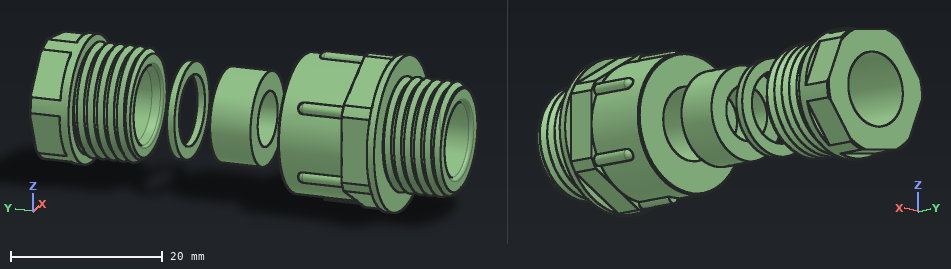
import cadquery as cq
import math

thread_crest_radius = 7.7
thread_half_angle = 40.0
thread_turns_gauged = 5
thread_advance_gauged = 7.05
thread_pitch = thread_advance_gauged / thread_turns_gauged
thread_length = 8.0
full_v_depth = thread_pitch / 2 / math.tan(math.radians(thread_half_angle))
root_land = 0.03
thread_root_depth = 0.3
thread_core_radius = thread_crest_radius - full_v_depth + root_land

flange_radius = 10.495
flange_top = 9.05
hex_top = 13.0
hex_corners = 6
hex_corner_radius = 10.45
barrel_radius = 9.45
barrel_top = 21.95
barrel_edge_chamfer = 0.2
stem_bore_radius = 5.0
stem_bore_fillet = 0.5
stem_crest_height = 1.3

rib_radius = 0.8
rib_top = 18.7
rib_angle_step = 360 / hex_corners
first_rib_angle = rib_angle_step / 2
plain_rib_angle = 270.0

seal_bottom = 26.95
seal_length = 5.7
seal_outer_radius = 6.4
seal_inner_radius = 3.7

washer_bottom = 37.6
washer_thickness = 1.1
washer_outer_radius = 6.6
washer_inner_radius = 4.8

nut_collar_bottom = 51.7
nut_bottom = nut_collar_bottom - thread_length
nut_flats_bottom = 52.95
nut_top = 57.2
nut_head_radius = 8.7
nut_flat_distance = 8.0
nut_flat_count = 6
nut_flat_tilt = 7.2
nut_edge_chamfer = 0.2
nut_bore_radius = 5.0
nut_mouth_radius = 5.3
nut_mouth_fillet = 0.35
nut_mouth_depth = 1.45
nut_crest_height = 0.85


def cylinder(radius, bottom, top):
    """Cylinder on the Y axis between two heights."""
    return cq.Workplane("XZ", origin=(0, bottom, 0)).circle(radius).extrude(bottom - top)


def thread_ridge():
    """Helical V ridge on the Y axis from Y = 0, with its lower end chamfered down to the core."""
    turns = math.ceil(thread_length / thread_pitch) + 2
    foot_radius = thread_core_radius - root_land / 2
    half_foot = (thread_crest_radius - foot_radius) * math.tan(math.radians(thread_half_angle))
    base_radius = thread_core_radius - thread_root_depth
    helix = cq.Workplane(cq.Wire.makeHelix(thread_pitch, turns * thread_pitch, thread_crest_radius))
    ridge = (
        cq.Workplane("XZ")
        .moveTo(base_radius, -half_foot)
        .lineTo(foot_radius, -half_foot)
        .lineTo(thread_crest_radius, 0)
        .lineTo(foot_radius, half_foot)
        .lineTo(base_radius, half_foot)
        .close()
        .sweep(helix, isFrenet=True)
        .rotate((0, 0, 0), (1, 0, 0), -90)
        .translate((0, -thread_pitch, 0))
    )
    envelope = cylinder(thread_crest_radius + root_land, 0, thread_length)
    envelope = envelope.faces("<Y").chamfer(thread_crest_radius + root_land - thread_core_radius)
    return ridge.intersect(envelope)


def threaded_stem(bottom, crest_height):
    """Threaded rod from the given Y, turned so a crest passes +X at crest_height above its end."""
    rod = cylinder(thread_core_radius, 0, thread_length)
    rod = rod.rotate((0, 0, 0), (0, 1, 0), 180).union(thread_ridge())
    turn = -360 * crest_height / thread_pitch
    return rod.rotate((0, 0, 0), (0, 1, 0), turn).translate((0, bottom, 0))


def rounded_mouth(radius, fillet, bottom):
    """Ring of material removed to round the lower edge of a bore."""
    arc_offset = fillet * (1 - math.sqrt(0.5))
    return (
        cq.Workplane("XY")
        .moveTo(0, bottom)
        .lineTo(radius + fillet, bottom)
        .threePointArc((radius + arc_offset, bottom + arc_offset), (radius, bottom + fillet))
        .lineTo(0, bottom + fillet)
        .close()
        .revolve(360, (0, 0, 0), (0, 1, 0))
    )


def make_rib(angle):
    """Round rib sunk halfway into the barrel at the given angle from +X toward +Z."""
    outline = cq.Workplane("XY").moveTo(0, hex_top).lineTo(rib_radius, hex_top).lineTo(rib_radius, rib_top)
    if angle != plain_rib_angle:
        outline = outline.radiusArc((0, rib_top + rib_radius), -rib_radius)
    else:
        outline = outline.lineTo(0, rib_top)
    rib = outline.close().revolve(360, (0, 0, 0), (0, 1, 0))
    return rib.translate((barrel_radius, 0, 0)).rotate((0, 0, 0), (0, 1, 0), -angle)


def make_body():
    """Gland body with its stem, flange, hexagon, barrel and through bore."""
    barrel = cylinder(barrel_radius, flange_top, barrel_top)
    barrel = barrel.faces(">Y").chamfer(barrel_edge_chamfer)
    for index in range(hex_corners):
        barrel = barrel.union(make_rib(first_rib_angle + index * rib_angle_step))

    corner_diameter = 2 * barrel_radius / math.cos(math.pi / hex_corners)
    hexagon = (
        cq.Workplane("XZ", origin=(0, flange_top, 0))
        .polygon(hex_corners, corner_diameter)
        .extrude(flange_top - hex_top)
        .rotate((0, 0, 0), (0, 1, 0), first_rib_angle)
        .intersect(cylinder(hex_corner_radius, flange_top, hex_top))
    )
    flange = cylinder(flange_radius, thread_length, flange_top)
    stem = threaded_stem(0, stem_crest_height)
    bore = cylinder(stem_bore_radius, 0, barrel_top)
    mouth = rounded_mouth(stem_bore_radius, stem_bore_fillet, 0)
    return stem.union(flange).union(hexagon).union(barrel).cut(bore).cut(mouth)


def make_ring(bottom, length, outer_radius, inner_radius):
    """Plain ring on the Y axis."""
    top = bottom + length
    return cylinder(outer_radius, bottom, top).cut(cylinder(inner_radius, bottom, top))


def make_nut():
    """Clamping nut with wrench flats and a bore that opens in a taper at the threaded end."""
    head = cylinder(nut_head_radius, nut_collar_bottom, nut_top)
    head = head.faces(">Y").chamfer(nut_edge_chamfer)
    flat_length = nut_top - nut_flats_bottom
    for index in range(nut_flat_count):
        cutter = (
            cq.Workplane("XY")
            .box(2 * nut_head_radius, flat_length, nut_head_radius, centered=(True, False, False))
            .translate((0, nut_flats_bottom, nut_flat_distance))
            .rotate((0, 0, 0), (0, 1, 0), nut_flat_tilt + index * 360 / nut_flat_count)
        )
        head = head.cut(cutter)

    stem = threaded_stem(nut_bottom, nut_crest_height)
    bore = cylinder(nut_bore_radius, nut_bottom, nut_top)
    taper = (
        cq.Workplane("XY")
        .moveTo(0, nut_bottom)
        .lineTo(nut_mouth_radius, nut_bottom)
        .lineTo(nut_mouth_radius, nut_bottom + nut_mouth_fillet)
        .lineTo(nut_bore_radius, nut_bottom + nut_mouth_depth)
        .lineTo(0, nut_bottom + nut_mouth_depth)
        .close()
        .revolve(360, (0, 0, 0), (0, 1, 0))
    )
    mouth = rounded_mouth(nut_mouth_radius, nut_mouth_fillet, nut_bottom)
    return stem.union(head).cut(bore).cut(taper).cut(mouth)


body = make_body()
seal = make_ring(seal_bottom, seal_length, seal_outer_radius, seal_inner_radius)
washer = make_ring(washer_bottom, washer_thickness, washer_outer_radius, washer_inner_radius)
nut = make_nut()

result = cq.Compound.makeCompound([body.val(), seal.val(), washer.val(), nut.val()])